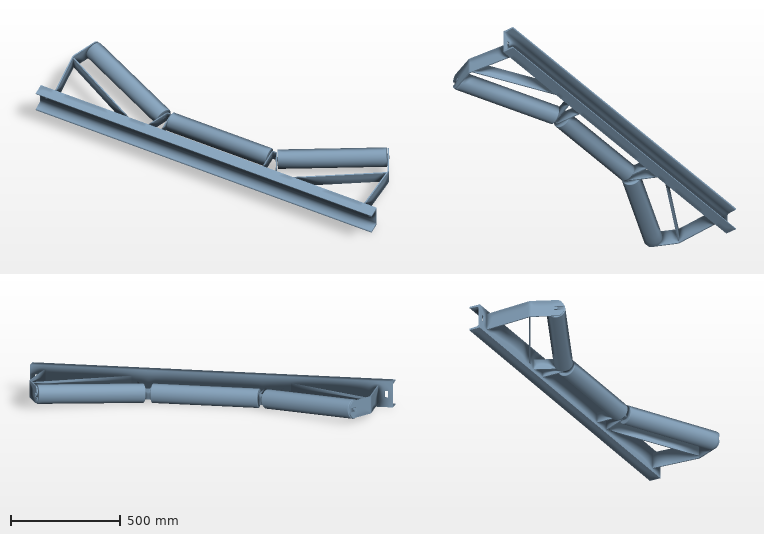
import cadquery as cq
import math


channel_length = 1700.0
channel_height = 120.0
flange_width = 55.0
web_thickness = 7.0
flange_thickness = 9.0
flange_taper = 0.08
root_radius = 9.0
toe_radius = 4.5
end_slot_width = 16.0
end_slot_height = 30.0
end_slot_inset = 30.0

total_depth = 431.62
roller_length = 500.0
roller_radius = 44.5
roller_edge_radius = 2.5
shaft_radius = 10.0
shaft_overhang = 1.0
shaft_flat_width = 14.0
trough_angle = 25.0
tilt_angle = 2.15
centre_roller_y = 118.0
centre_roller_z = -20.0
side_roller_outer_x = -742.5
side_roller_outer_z = -1.0
bracket_gap = 3.0

plate_thickness = 6.0
outer_bracket_width = 80.0
arm_above_axis = 37.0
arm_below_axis = 117.0
arm_corner_radius = 30.0
outer_bend_radius = 24.0
outer_foot_x = -781.0
inner_top_y = 143.0
inner_bend_radius = 9.0
inner_bracket_width = 50.0
brace_width = 60.0
brace_foot_x = -380.0

trough = math.radians(trough_angle)
tilt = math.radians(tilt_angle)
sin_trough = math.sin(trough)
cos_trough = math.cos(trough)
roller_reach_y = (roller_radius - roller_edge_radius) * cos_trough + roller_edge_radius * (1 - sin_trough)
side_roller_outer_y = total_depth - flange_width - roller_reach_y
shaft_reach = bracket_gap + plate_thickness + shaft_overhang
plate_offset = bracket_gap + plate_thickness / 2

side_axis = cq.Vector(cos_trough * math.cos(tilt), -sin_trough * math.cos(tilt), -math.sin(tilt))
side_outer_end = cq.Vector(side_roller_outer_x, side_roller_outer_y, side_roller_outer_z)
side_inner_end = side_outer_end + side_axis * roller_length
centre_axis = cq.Vector(1, 0, 0)
centre_end = cq.Vector(-roller_length / 2, centre_roller_y, centre_roller_z)
foot_overrun_y = -2 * plate_thickness


def bent_plate(path, width, bend_radius=None):
    """Plate of even thickness on an XY centre line; bend_radius rounds the outside of its bends."""
    points = [cq.Vector(x, y, 0) for x, y in path]
    normals = []
    for start, end in zip(points, points[1:]):
        along = (end - start).normalized()
        normals.append(cq.Vector(-along.y, along.x, 0))
    befores = normals[:1] + normals
    afters = normals + normals[-1:]
    left = []
    right = []
    for point, before, after in zip(points, befores, afters):
        shift = (before + after) * (plate_thickness / 2 / (1 + before.dot(after)))
        left.append(point + shift)
        right.append(point - shift)
    outline = [(corner.x, corner.y) for corner in left + right[::-1]]
    plate = cq.Workplane("XY").polyline(outline).close().extrude(width / 2, both=True)
    for i in range(1, len(points) - 1):
        turns_left = befores[i].cross(afters[i]).z > 0
        outside, inside = (right[i], left[i]) if turns_left else (left[i], right[i])
        plate = round_corner(plate, outside, bend_radius)
        plate = round_corner(plate, inside, bend_radius - plate_thickness)
    return plate


def round_corner(plate, corner, radius):
    """Fillet the upright edge of a plate at one corner of its outline."""
    nearest = cq.selectors.NearestToPointSelector(corner.toTuple())
    return plate.edges("|Z").edges(nearest).fillet(radius)


def trim_at_web(plate):
    """Cut a plate off at the back of the channel web."""
    keep = cq.Workplane("XY").rect(channel_length, total_depth, centered=(True, False))
    return plate.intersect(keep.extrude(channel_height, both=True))


def point_on_line(start, end, y):
    """Point with the given Y on the XY line through two points."""
    share = (y - start[1]) / (end[1] - start[1])
    return (start[0] + share * (end[0] - start[0]), y)


def make_channel():
    """Channel with tapered flanges, rounded roots and toes, and a slot near each end of its web."""
    taper_drop = flange_taper * (flange_width - web_thickness) / 2
    half_height = channel_height / 2
    root_z = half_height - flange_thickness - taper_drop
    toe_z = half_height - flange_thickness + taper_drop
    profile = [
        (0, -half_height),
        (0, half_height),
        (-flange_width, half_height),
        (-flange_width, toe_z),
        (-web_thickness, root_z),
        (-web_thickness, -root_z),
        (-flange_width, -toe_z),
        (-flange_width, -half_height),
    ]
    channel = cq.Workplane("YZ").polyline(profile).close().extrude(channel_length / 2, both=True)
    for z in (root_z, -root_z):
        root = cq.selectors.NearestToPointSelector((0, -web_thickness, z))
        channel = channel.edges(root).fillet(root_radius)
    for z in (toe_z, -toe_z):
        toe = cq.selectors.NearestToPointSelector((0, -flange_width, z))
        channel = channel.edges(toe).fillet(toe_radius)
    slot_x = channel_length / 2 - end_slot_inset
    slots = (
        cq.Workplane("XZ")
        .pushPoints([(-slot_x, 0), (slot_x, 0)])
        .rect(end_slot_width, end_slot_height)
        .extrude(web_thickness)
    )
    return channel.cut(slots)


def make_roller(end, axis):
    """Roller tube from an end face centre along an axis, with a shaft stub at each end."""
    tube = cq.Workplane(cq.Solid.makeCylinder(roller_radius, roller_length, end, axis))
    tube = tube.edges().fillet(roller_edge_radius)
    return tube.union(make_shaft(end, axis))


def make_shaft(end, axis):
    """Round shaft with two flats, long enough to pass through both of its brackets."""
    along_plan = cq.Vector(axis.x, axis.y, 0)
    frame = cq.Plane(end - axis * shaft_reach, cq.Vector(0, 0, 1).cross(along_plan), axis)
    length = roller_length + 2 * shaft_reach
    flats = cq.Workplane(frame).rect(2 * shaft_radius, shaft_flat_width).extrude(length)
    return cq.Workplane(frame).circle(shaft_radius).extrude(length).intersect(flats)


def side_point(end, inward, upward):
    """XY point at plan distances along and across the left side roller's axis from its end."""
    x = end.x + inward * cos_trough + upward * sin_trough
    y = end.y - inward * sin_trough + upward * cos_trough
    return (x, y)


outer_bend = side_point(side_outer_end, -plate_offset, -arm_below_axis)


def make_outer_bracket():
    """Bent plate with a rounded tip and an open slot that carries the outer shaft stub."""
    tip = side_point(side_outer_end, -plate_offset, arm_above_axis)
    foot = point_on_line((outer_foot_x, 0), outer_bend, foot_overrun_y)
    bracket = bent_plate([foot, outer_bend, tip], outer_bracket_width, outer_bend_radius)
    for z in (-outer_bracket_width / 2, outer_bracket_width / 2):
        tip_corner = cq.selectors.NearestToPointSelector((*tip, z))
        along_plate = cq.selectors.ParallelDirSelector(cq.Vector(cos_trough, -sin_trough, 0))
        bracket = bracket.edges(along_plate).edges(tip_corner).fillet(arm_corner_radius)
    slot_frame = cq.Plane(side_outer_end, (sin_trough, cos_trough, 0), side_axis)
    slot_mouth = cq.Workplane(slot_frame).rect(
        2 * arm_above_axis, 2 * shaft_radius, centered=(False, True)
    )
    slot_seat = cq.Workplane(slot_frame).circle(shaft_radius)
    for slot_part in (slot_mouth, slot_seat):
        bracket = bracket.cut(slot_part.extrude(-2 * shaft_reach))
    return trim_at_web(bracket)


def make_inner_bracket():
    """Plate folded over between two rollers, with a hole for the shaft stub of each."""
    centre_leg_x = -roller_length / 2 - plate_offset
    leg_point = side_point(side_inner_end, plate_offset, 0)
    leg_below = side_point(side_inner_end, plate_offset, -roller_radius)
    top_y = inner_top_y - plate_thickness / 2
    path = [
        point_on_line(leg_point, leg_below, foot_overrun_y),
        point_on_line(leg_point, leg_below, top_y),
        (centre_leg_x, top_y),
        (centre_leg_x, foot_overrun_y),
    ]
    bracket = bent_plate(path, inner_bracket_width, inner_bend_radius)
    bracket = bracket.translate((0, 0, centre_roller_z))
    bracket = bracket.cut(make_shaft(side_outer_end, side_axis))
    bracket = bracket.cut(make_shaft(centre_end, centre_axis))
    return trim_at_web(bracket)


def make_brace(bracket):
    """Flat strut from the channel to the inside of the outer bracket's bend."""
    foot = point_on_line((brace_foot_x, 0), outer_bend, foot_overrun_y)
    return trim_at_web(bent_plate([foot, outer_bend], brace_width).cut(bracket))


channel = make_channel()
centre_roller = make_roller(centre_end, centre_axis)
side_roller = make_roller(side_outer_end, side_axis)
outer_bracket = make_outer_bracket()
inner_bracket = make_inner_bracket()
brace = make_brace(outer_bracket)

bodies = [channel.val(), centre_roller.val()]
for body in (side_roller, outer_bracket, inner_bracket, brace):
    bodies.append(body.val())
    bodies.append(body.mirror("YZ").val())

result = cq.Compound.makeCompound(bodies)